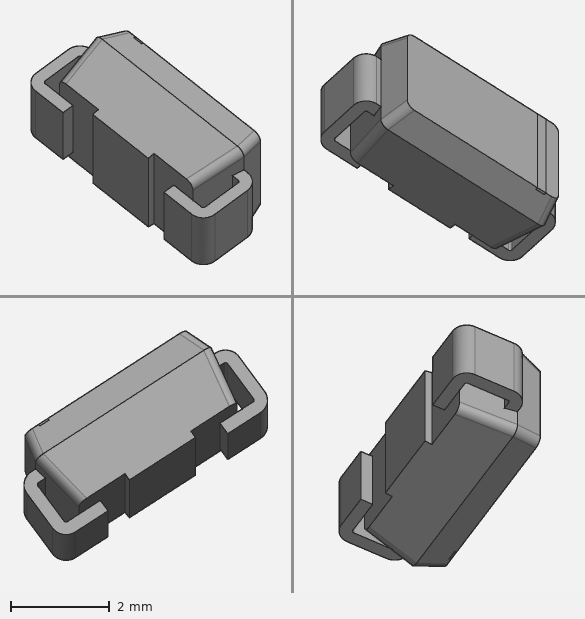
import cadquery as cq

LENGTH = 5.21
DEPTH = 2.21
BACK_Y = DEPTH / 2
FOOT_Y = -DEPTH / 2

HOUSING_LENGTH = 4.32
HOUSING_HEIGHT = 2.62
BACK_DEPTH = 0.63
FRONT_DEPTH = 1.225
BACK_DRAFT = 15.0
FRONT_DRAFT = 10.0
CORNER_RADIUS = 0.195
PARTING_Y = BACK_Y - BACK_DEPTH

PAD_LENGTH = 1.62
PAD_DEPTH = 0.155

LEAD_THICKNESS = 0.275
LEAD_HEIGHT = 1.46
FOOT_LENGTH = 1.135
OUTER_BEND_RADIUS = 0.335
INNER_BEND_RADIUS = 0.05

BAND_WIDTH = 0.225
BAND_DEPTH = 0.045
BAND_X = -1.54


def tapered_block(depth, draft, toward_back):
    """Rectangular block narrowing away from the parting plane."""
    plane = cq.Plane(
        origin=(0, PARTING_Y, 0),
        xDir=(1, 0, 0),
        normal=(0, 1 if toward_back else -1, 0),
    )
    return (
        cq.Workplane(plane)
        .rect(HOUSING_LENGTH, HOUSING_HEIGHT)
        .extrude(depth, taper=draft)
    )


def round_corners(block):
    """Round the four sloping corner edges of a tapered block."""
    return block.edges("not(#Y)").fillet(CORNER_RADIUS)


def make_housing_blank():
    back = round_corners(tapered_block(BACK_DEPTH, BACK_DRAFT, True))
    front = round_corners(tapered_block(FRONT_DEPTH, FRONT_DRAFT, False))
    pad_reach = FRONT_DEPTH + PAD_DEPTH
    pad_slab = cq.Workplane("XY").box(PAD_LENGTH, pad_reach, HOUSING_HEIGHT)
    pad_slab = pad_slab.translate((0, PARTING_Y - pad_reach / 2, 0))
    pad = tapered_block(pad_reach, FRONT_DRAFT, False).intersect(pad_slab)
    return back.union(front).union(pad)


def make_lead(side):
    """Bent strip on one end; side is -1 for the -X lead and +1 for the +X lead."""
    span = PARTING_Y - FOOT_Y
    middle_y = (PARTING_Y + FOOT_Y) / 2
    outer_x = LENGTH / 2
    tip_x = outer_x - FOOT_LENGTH
    inner_x = outer_x - LEAD_THICKNESS
    outer = (
        cq.Workplane("XY")
        .box(FOOT_LENGTH, span, LEAD_HEIGHT)
        .translate(((tip_x + outer_x) / 2, middle_y, 0))
        .edges("|Z and >X")
        .fillet(OUTER_BEND_RADIUS)
    )
    opening = (
        cq.Workplane("XY")
        .box(inner_x - tip_x, span - 2 * LEAD_THICKNESS, LEAD_HEIGHT)
        .translate(((tip_x + inner_x) / 2, middle_y, 0))
        .edges("|Z and >X")
        .fillet(INNER_BEND_RADIUS)
    )
    lead = outer.cut(opening)
    return lead if side > 0 else lead.mirror("YZ")


def make_band(housing_blank):
    """Shallow strip over the full housing height, its ends flush with the slopes."""
    strip = cq.Workplane("XY").box(BAND_WIDTH, BAND_DEPTH, HOUSING_HEIGHT)
    strip = strip.translate((BAND_X, BACK_Y - BAND_DEPTH / 2, 0))
    return housing_blank.intersect(strip)


def make_housing(housing_blank, inserts):
    """Cut a matching seat for every body set into the housing."""
    housing = housing_blank
    for insert in inserts:
        housing = housing.cut(insert)
    return housing


housing_blank = make_housing_blank()
leads = [make_lead(side) for side in (-1, 1)]
band = make_band(housing_blank)
housing = make_housing(housing_blank, leads + [band])

result = cq.Compound.makeCompound(
    [body.solids().val() for body in (housing, band, *leads)]
)